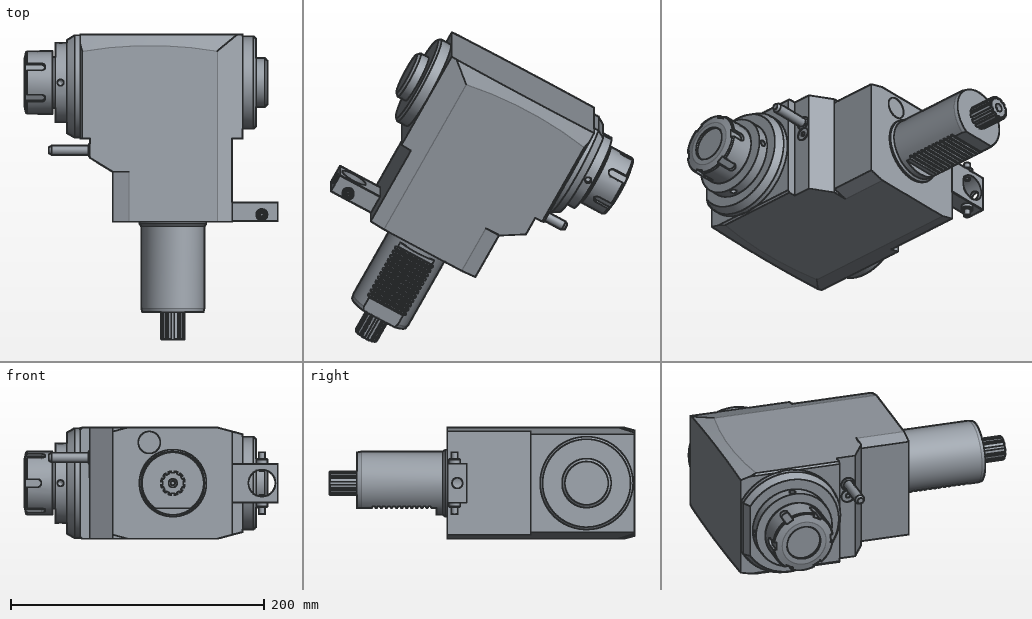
import cadquery as cq
import math


HALF_HEIGHT = 44.0
BODY_BACK = 148.0
HEAD_LEFT = -73.1
HEAD_RIGHT = 55.1
HEAD_FRONT = 65.8
NECK_LEFT = -65.4
NECK_FRONT = 50.5
FOOT_LEFT = -47.6
FOOT_RIGHT = 46.7
FOOT_BACK = 39.6
BEVEL_ANGLE = math.radians(15)
SIDE_BEVEL_START = 35.0
HEAD_CHAMFER = 1.6
BACK_CREST_X = -18.0
BACK_CREST_Y = 139.4
BACK_ARC_RADIUS = 312.0
PLUG_X = -18.6
PLUG_Z = 32.1
PLUG_RADIUS = 8.7
PLUG_RECESS = 0.2

SPINDLE_Y = 110.0
COLLAR_FRONT = -83.7
COLLAR_CONE_END = -77.4
COLLAR_RADIUS = 43.5
COLLAR_FRONT_RADIUS = 39.9
COLLAR_FLAT_Y = 147.4
COLLAR_FLAT_FRONT_Y = 143.5
FLANGE_FRONT = -92.6
FLANGE_RADIUS = 31.5
FLANGE_HOLE_X = -88.6
FLANGE_HOLE_RADIUS = 2.5
FLANGE_HOLE_DEPTH = 5.0
FLANGE_HOLE_POINT = 1.5
FLANGE_HOLE_COUNT = 4
SPINDLE_NECK_RADIUS = 20.3
NUT_FRONT = -117.3
NUT_SHOULDER = -116.0
NUT_RIM = -114.7
NUT_BACK = -94.6
NUT_RADIUS = 25.0
NUT_SHOULDER_RADIUS = 24.2
NUT_FACE_RADIUS = 18.2
NUT_BACK_CHAMFER = 0.7
NUT_BORE_RADIUS = 13.9
NUT_BORE_DEPTH = 2.0
NUT_SLOT_COUNT = 6
NUT_SLOT_WIDTH = 6.5
NUT_SLOT_END = -100.7
NUT_SHORT_SLOT_END = -103.8
NUT_SLOT_FLOOR = 22.4
REAR_COVER_END = 65.6
REAR_COVER_RADIUS = 36.7
REAR_COVER_CHAMFER = 2.0
REAR_HUB_END = 74.8
REAR_HUB_RADIUS = 19.4
REAR_HUB_CHAMFER = 2.3

PIN_Y = 56.6
PIN_Z = 20.2
PIN_RADIUS = 3.8
PIN_END = -98.0
PIN_TIP_LENGTH = 2.4
PIN_TIP_RADIUS = 2.4
SEAT_RADIUS = 5.3
SEAT_HEIGHT = 0.6
SEAT_CONE_LENGTH = 0.8
SCREW_Z = 9.9
SCREW_SOCKET_RADIUS = 1.7
SCREW_SOCKET_DEPTH = 1.5

SHANK_RADIUS = 25.0
SHANK_LENGTH = 71.2
SHANK_END_LENGTH = 3.3
SHANK_END_DROP = 0.7
RING_RADIUS = 26.5
RING_LENGTH = 1.3
RING_TAPER_END = 3.5
FLAT_START = 8.4
FLAT_Z = -19.8
TOOTH_COUNT = 12
TOOTH_PITCH = 4.0
FIRST_TOOTH = 13.9
TOOTH_DEPTH = 1.5
TOOTH_TOP_WIDTH = 3.3
TOOTH_ROOT_WIDTH = 1.5

SPLINE_END = 93.0
SPLINE_RADIUS = 9.6
SPLINE_ROOT_RADIUS = 8.0
SPLINE_COUNT = 12
SPLINE_GAP = 2.2
SPLINE_CHAMFER = 0.8
CENTRE_RADIUS = 3.4
CENTRE_DRILL_RADIUS = 1.7
CENTRE_CONE_DEPTH = 3.0
CENTRE_DRILL_DEPTH = 6.0

BRACKET_END = 82.8
BRACKET_FRONT = 0.4
BRACKET_BACK = 15.6
BRACKET_HALF_HEIGHT = 15.3
BRACKET_CHAMFER = 0.4
BRACKET_BORE_X = 70.2
BRACKET_BORE_RADIUS = 10.6
END_HOLE_RADIUS = 4.2
STUD_Y = 5.8
STUD_RADIUS = 2.5
STUD_OUTER_Z = 24.4
STUD_POINT_Z = 9.2
STUD_POINT_LENGTH = 1.2
STUD_POINT_RADIUS = 1.7
STUD_NUT_RADIUS = 4.5
STUD_NUT_Z = 19.1
STUD_NUT_CHAMFER = 0.8
STUD_SOCKET_RADIUS = 1.3
STUD_SOCKET_DEPTH = 2.5

OVERLAP = 2.0
CLEAR = 5.0


def cylinder(start, direction, radius, length):
    """Cylinder from a start point along a direction."""
    return cq.Workplane(cq.Solid.makeCylinder(radius, length, cq.Vector(*start), cq.Vector(*direction)))


def cone(start, direction, start_radius, end_radius, length):
    """Truncated cone from a start point along a direction."""
    return cq.Workplane(
        cq.Solid.makeCone(start_radius, end_radius, length, cq.Vector(*start), cq.Vector(*direction))
    )


def turned_on_spindle(profile):
    """Revolve (x, radius) points about the spindle axis."""
    points = [(x, SPINDLE_Y + radius) for x, radius in profile]
    return cq.Workplane("XY").polyline(points).close().revolve(360, (0, SPINDLE_Y), (1, SPINDLE_Y))


def turned_on_shank(profile):
    """Revolve (distance from mounting face, radius) points about the shank axis."""
    points = [(radius, -distance) for distance, radius in profile]
    return cq.Workplane("XY").polyline(points).close().revolve(360, (0, 0), (0, 1))


def edge_wedge(points, y_start, y_end):
    """Triangular (x, z) cutter running along Y, with its mirror below."""
    wedge = cq.Workplane("XZ", origin=(0, y_start, 0)).polyline(points).close().extrude(y_start - y_end)
    return wedge.union(wedge.mirror("XY"))


def bevel_wedge(side, edge_x, y_start, y_end):
    """Cutter for the shallow side bevel on the left (-1) or right (+1)."""
    reach = edge_x + side * CLEAR
    drop = (abs(reach) - SIDE_BEVEL_START) * math.tan(BEVEL_ANGLE)
    points = [
        (side * SIDE_BEVEL_START, HALF_HEIGHT),
        (reach, HALF_HEIGHT),
        (reach, HALF_HEIGHT - drop),
    ]
    return edge_wedge(points, y_start, y_end)


def make_body():
    outline = [
        (FOOT_LEFT, 0),
        (FOOT_RIGHT, 0),
        (FOOT_RIGHT, HEAD_FRONT),
        (HEAD_RIGHT, HEAD_FRONT),
        (HEAD_RIGHT, BODY_BACK),
        (HEAD_LEFT, BODY_BACK),
        (HEAD_LEFT, HEAD_FRONT),
        (NECK_LEFT, HEAD_FRONT),
        (NECK_LEFT, NECK_FRONT),
        (FOOT_LEFT, FOOT_BACK),
    ]
    body = cq.Workplane("XY").polyline(outline).close().extrude(HALF_HEIGHT, both=True)

    mid_radius = BACK_ARC_RADIUS + HALF_HEIGHT / math.tan(BEVEL_ANGLE)
    axis_point = (BACK_CREST_X, BACK_CREST_Y - BACK_ARC_RADIUS, 0)
    upper = cone(axis_point, (0, 0, 1), mid_radius, BACK_ARC_RADIUS, HALF_HEIGHT)
    lower = cone(axis_point, (0, 0, -1), mid_radius, BACK_ARC_RADIUS, HALF_HEIGHT)
    body = body.intersect(upper.union(lower))

    body = body.cut(bevel_wedge(1, HEAD_RIGHT, -CLEAR, BODY_BACK + CLEAR))
    body = body.cut(bevel_wedge(-1, FOOT_LEFT, -CLEAR, FOOT_BACK))

    chamfer = [
        (HEAD_LEFT, HALF_HEIGHT),
        (HEAD_LEFT + HEAD_CHAMFER, HALF_HEIGHT),
        (HEAD_LEFT, HALF_HEIGHT - HEAD_CHAMFER),
    ]
    body = body.cut(edge_wedge(chamfer, HEAD_FRONT, BODY_BACK))

    return body.cut(cylinder((PLUG_X, 0, PLUG_Z), (0, 1, 0), PLUG_RADIUS, PLUG_RECESS))


def make_collar():
    collar = turned_on_spindle([
        (COLLAR_FRONT, 0),
        (COLLAR_FRONT, COLLAR_FRONT_RADIUS),
        (COLLAR_CONE_END, COLLAR_RADIUS),
        (HEAD_LEFT, COLLAR_RADIUS),
        (HEAD_LEFT, 0),
    ])
    trim_y = SPINDLE_Y + COLLAR_RADIUS + CLEAR
    trim = [
        (COLLAR_FRONT, COLLAR_FLAT_FRONT_Y),
        (COLLAR_CONE_END, COLLAR_FLAT_Y),
        (HEAD_LEFT, COLLAR_FLAT_Y),
        (HEAD_LEFT, trim_y),
        (COLLAR_FRONT, trim_y),
    ]
    return collar.cut(cq.Workplane("XY").polyline(trim).close().extrude(COLLAR_RADIUS, both=True))


def make_flange():
    flange = turned_on_spindle([
        (NUT_BACK - OVERLAP, 0),
        (NUT_BACK - OVERLAP, SPINDLE_NECK_RADIUS),
        (FLANGE_FRONT, SPINDLE_NECK_RADIUS),
        (FLANGE_FRONT, FLANGE_RADIUS),
        (COLLAR_FRONT, FLANGE_RADIUS),
        (COLLAR_FRONT, 0),
    ])
    for index in range(FLANGE_HOLE_COUNT):
        angle = 2 * math.pi * index / FLANGE_HOLE_COUNT
        outward = (0, math.cos(angle), math.sin(angle))
        floor = FLANGE_RADIUS - FLANGE_HOLE_DEPTH
        start = (FLANGE_HOLE_X, SPINDLE_Y + floor * outward[1], floor * outward[2])
        inward = (0, -outward[1], -outward[2])
        flange = flange.cut(cylinder(start, outward, FLANGE_HOLE_RADIUS, FLANGE_HOLE_DEPTH + CLEAR))
        flange = flange.cut(cone(start, inward, FLANGE_HOLE_RADIUS, 0, FLANGE_HOLE_POINT))
    return flange


def slot_cutter(slot_end):
    """Round-ended spanner slot, open to the nut's front, on the +Z side."""
    start = NUT_FRONT - CLEAR
    half_width = NUT_SLOT_WIDTH / 2
    round_x = slot_end - half_width
    return (
        cq.Workplane("XY", origin=(0, SPINDLE_Y, NUT_SLOT_FLOOR))
        .moveTo(start, -half_width)
        .lineTo(round_x, -half_width)
        .threePointArc((slot_end, 0), (round_x, half_width))
        .lineTo(start, half_width)
        .close()
        .extrude(CLEAR)
    )


def make_clamping_nut():
    nut = turned_on_spindle([
        (NUT_FRONT + NUT_BORE_DEPTH, 0),
        (NUT_FRONT + NUT_BORE_DEPTH, NUT_BORE_RADIUS),
        (NUT_FRONT, NUT_BORE_RADIUS),
        (NUT_FRONT, NUT_FACE_RADIUS),
        (NUT_SHOULDER, NUT_SHOULDER_RADIUS),
        (NUT_RIM, NUT_RADIUS),
        (NUT_BACK - NUT_BACK_CHAMFER, NUT_RADIUS),
        (NUT_BACK, NUT_RADIUS - NUT_BACK_CHAMFER),
        (NUT_BACK, 0),
    ])
    for index in range(NUT_SLOT_COUNT):
        slot_end = NUT_SHORT_SLOT_END if index % 3 == 0 else NUT_SLOT_END
        angle = 360 * index / NUT_SLOT_COUNT - 90
        nut = nut.cut(slot_cutter(slot_end).rotate((0, SPINDLE_Y, 0), (1, SPINDLE_Y, 0), angle))
    return nut


def make_rear_cover():
    return turned_on_spindle([
        (HEAD_RIGHT - OVERLAP, 0),
        (HEAD_RIGHT - OVERLAP, REAR_COVER_RADIUS),
        (REAR_COVER_END - REAR_COVER_CHAMFER, REAR_COVER_RADIUS),
        (REAR_COVER_END, REAR_COVER_RADIUS - REAR_COVER_CHAMFER),
        (REAR_COVER_END, REAR_HUB_RADIUS),
        (REAR_HUB_END - REAR_HUB_CHAMFER, REAR_HUB_RADIUS),
        (REAR_HUB_END, REAR_HUB_RADIUS - REAR_HUB_CHAMFER),
        (REAR_HUB_END, 0),
    ])


def make_coolant_pin():
    """Pin on a conical seat, with a low screw head beside it."""
    outward = (-1, 0, 0)
    tip_start = PIN_END + PIN_TIP_LENGTH
    rod = cylinder((NECK_LEFT, PIN_Y, PIN_Z), outward, PIN_RADIUS, NECK_LEFT - tip_start)
    tip = cone((tip_start, PIN_Y, PIN_Z), outward, PIN_RADIUS, PIN_TIP_RADIUS, PIN_TIP_LENGTH)
    seat_top = (NECK_LEFT - SEAT_HEIGHT, PIN_Y, PIN_Z)
    seat_cone = cone(seat_top, outward, SEAT_RADIUS, PIN_RADIUS, SEAT_CONE_LENGTH)
    pin = rod.union(tip).union(seat_cone)

    seat_start = NECK_LEFT + OVERLAP
    for z in (PIN_Z, SCREW_Z):
        pin = pin.union(cylinder((seat_start, PIN_Y, z), outward, SEAT_RADIUS, SEAT_HEIGHT + OVERLAP))

    socket_start = (NECK_LEFT - SEAT_HEIGHT, PIN_Y, SCREW_Z)
    return pin.cut(cylinder(socket_start, (1, 0, 0), SCREW_SOCKET_RADIUS, SCREW_SOCKET_DEPTH))


def make_shank():
    shank = turned_on_shank([
        (-OVERLAP, 0),
        (-OVERLAP, RING_RADIUS),
        (RING_LENGTH, RING_RADIUS),
        (RING_TAPER_END, SHANK_RADIUS),
        (SHANK_LENGTH - SHANK_END_LENGTH, SHANK_RADIUS),
        (SHANK_LENGTH, SHANK_RADIUS - SHANK_END_DROP),
        (SHANK_LENGTH, 0),
    ])
    flat = [
        (-FLAT_START, FLAT_Z),
        (-SHANK_LENGTH - CLEAR, FLAT_Z),
        (-SHANK_LENGTH - CLEAR, -SHANK_RADIUS - CLEAR),
        (-FLAT_START, -SHANK_RADIUS - CLEAR),
    ]
    shank = shank.cut(cq.Workplane("YZ").polyline(flat).close().extrude(SHANK_RADIUS, both=True))
    for index in range(TOOTH_COUNT):
        y = -(FIRST_TOOTH + index * TOOTH_PITCH)
        gap = [
            (y - TOOTH_TOP_WIDTH / 2, FLAT_Z),
            (y - TOOTH_ROOT_WIDTH / 2, FLAT_Z + TOOTH_DEPTH),
            (y + TOOTH_ROOT_WIDTH / 2, FLAT_Z + TOOTH_DEPTH),
            (y + TOOTH_TOP_WIDTH / 2, FLAT_Z),
        ]
        shank = shank.cut(cq.Workplane("YZ").polyline(gap).close().extrude(SHANK_RADIUS, both=True))
    return shank


def make_drive_shaft():
    shaft = turned_on_shank([
        (SHANK_LENGTH - OVERLAP, 0),
        (SHANK_LENGTH - OVERLAP, SPLINE_RADIUS),
        (SPLINE_END - SPLINE_CHAMFER, SPLINE_RADIUS),
        (SPLINE_END, SPLINE_RADIUS - SPLINE_CHAMFER),
        (SPLINE_END, 0),
    ])
    gap_length = SPLINE_END - SHANK_LENGTH + CLEAR
    gap = cq.Workplane("XY").box(SPLINE_GAP, gap_length, CLEAR, centered=(True, False, False))
    gap = gap.translate((0, -SHANK_LENGTH - gap_length, SPLINE_ROOT_RADIUS))
    for index in range(SPLINE_COUNT):
        shaft = shaft.cut(gap.rotate((0, 0, 0), (0, 1, 0), 360 * index / SPLINE_COUNT))

    end = (0, -SPLINE_END, 0)
    shaft = shaft.cut(cone(end, (0, 1, 0), CENTRE_RADIUS, CENTRE_DRILL_RADIUS, CENTRE_CONE_DEPTH))
    return shaft.cut(cylinder(end, (0, 1, 0), CENTRE_DRILL_RADIUS, CENTRE_DRILL_DEPTH))


def make_stud():
    """Upper stud with a conical inner point and a socket in its outer end."""
    up = (0, 0, 1)
    shoulder_z = STUD_POINT_Z + STUD_POINT_LENGTH
    point_start = (BRACKET_BORE_X, STUD_Y, STUD_POINT_Z)
    rod_start = (BRACKET_BORE_X, STUD_Y, shoulder_z)
    socket_start = (BRACKET_BORE_X, STUD_Y, STUD_OUTER_Z - STUD_SOCKET_DEPTH)
    point = cone(point_start, up, STUD_POINT_RADIUS, STUD_RADIUS, STUD_POINT_LENGTH)
    rod = cylinder(rod_start, up, STUD_RADIUS, STUD_OUTER_Z - shoulder_z)
    return point.union(rod).cut(cylinder(socket_start, up, STUD_SOCKET_RADIUS, STUD_SOCKET_DEPTH))


def make_stud_nut():
    """Round nut under the upper stud's outer end, seated on the bracket."""
    start = (BRACKET_BORE_X, STUD_Y, BRACKET_HALF_HEIGHT - OVERLAP)
    nut = cylinder(start, (0, 0, 1), STUD_NUT_RADIUS, STUD_NUT_Z - BRACKET_HALF_HEIGHT + OVERLAP)
    return nut.faces(">Z").chamfer(STUD_NUT_CHAMFER)


def make_bracket():
    depth = BRACKET_BACK - BRACKET_FRONT
    mid_y = (BRACKET_FRONT + BRACKET_BACK) / 2
    start_x = FOOT_RIGHT - OVERLAP
    bracket = (
        cq.Workplane("XY")
        .box(BRACKET_END - start_x, depth, 2 * BRACKET_HALF_HEIGHT, centered=(False, True, True))
        .translate((start_x, mid_y, 0))
        .edges("|X")
        .chamfer(BRACKET_CHAMFER)
    )
    bore_start = (BRACKET_BORE_X, BRACKET_FRONT - CLEAR, 0)
    bracket = bracket.cut(cylinder(bore_start, (0, 1, 0), BRACKET_BORE_RADIUS, depth + 2 * CLEAR))
    end_hole_length = BRACKET_END - BRACKET_BORE_X + CLEAR
    bracket = bracket.cut(cylinder((BRACKET_BORE_X, mid_y, 0), (1, 0, 0), END_HOLE_RADIUS, end_hole_length))
    nut = make_stud_nut()
    stud = make_stud()
    return bracket.union(nut).union(nut.mirror("XY")).union(stud).union(stud.mirror("XY"))


result = make_body()
for piece in (
    make_collar(),
    make_flange(),
    make_clamping_nut(),
    make_rear_cover(),
    make_coolant_pin(),
    make_shank(),
    make_drive_shaft(),
    make_bracket(),
):
    result = result.union(piece)